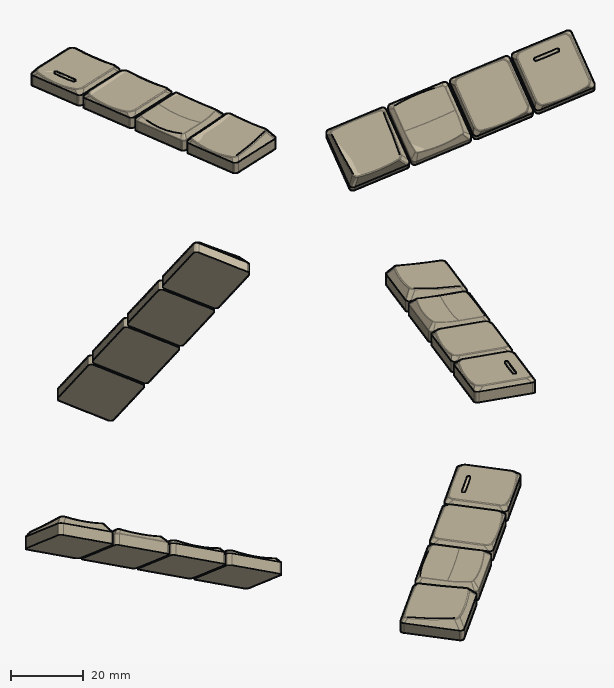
import cadquery as cq

ROW_LENGTH = 73.65
CAP_SIZE = 18.0
CAP_COUNT = 4
PITCH = (ROW_LENGTH - CAP_SIZE) / (CAP_COUNT - 1)
HALF_CAP = CAP_SIZE / 2

SKIRT_HEIGHT = 3.4
CORNER_RADIUS = 1.1

CROWN_HEIGHT = 3.3
CROWN_SLOPE = 0.67
FLAT_TIP_RADIUS = 2.95
TILTED_TIP_RADIUS = 1.3
STEEP_CROWN_SLOPE = 0.97
STEEP_TIP_RADIUS = 0.1
STEP_FILLET = 0.3

DISH_RADIUS = 36.8
DISH_FLOOR = 3.9
RIM_FILLET = 0.4
CURLED_RIM_FILLET = 0.15

CURL_RADIUS = DISH_RADIUS
CURL_START = 0.0

TILT_RADIUS = 103.1
TILT_START = -11.35
TILT_FLOOR = 3.8

BAR_RADIUS = 0.5
BAR_LENGTH = 7.5
BAR_Y = -4.65
BAR_AXIS_HEIGHT = 4.0

CUTTER_HALF_WIDTH = 11.05
CUTTER_HEIGHT = 11.05
CUTTER_REACH = 2 * CAP_SIZE
CUTTER_SWEEP_ANGLE = 30.0
DISH_FACE_MIN_NORMAL_Z = 0.85


def rounded_square(size, radius):
    return cq.Sketch().rect(size, size).vertices().fillet(radius)


def cap_blank(slope, tip_radius):
    """Straight skirt with a tapering crown on top, before the dish is cut."""
    outline = rounded_square(CAP_SIZE, CORNER_RADIUS)
    skirt = cq.Workplane("XY").placeSketch(outline).extrude(SKIRT_HEIGHT)
    tip = rounded_square(CAP_SIZE - 2 * slope * CROWN_HEIGHT, tip_radius)
    crown = (
        cq.Workplane("XY", origin=(0, 0, SKIRT_HEIGHT))
        .placeSketch(outline, tip.moved(cq.Location(cq.Vector(0, 0, CROWN_HEIGHT))))
        .loft()
    )
    return skirt.union(crown)


def dish_profile(y, floor):
    """Section of the removed material: a wide shallow arc closed above by a rectangle."""
    edge_rise = DISH_RADIUS - (DISH_RADIUS**2 - CUTTER_HALF_WIDTH**2) ** 0.5
    return (
        cq.Workplane("XZ", origin=(0, y, floor))
        .moveTo(-CUTTER_HALF_WIDTH, edge_rise)
        .threePointArc((0, 0), (CUTTER_HALF_WIDTH, edge_rise))
        .lineTo(CUTTER_HALF_WIDTH, CUTTER_HEIGHT)
        .lineTo(-CUTTER_HALF_WIDTH, CUTTER_HEIGHT)
        .close()
    )


def straight_dish(start, floor):
    """Cylindrical trough running forward (-Y) from the start."""
    return dish_profile(start, floor).extrude(CUTTER_REACH)


def rising_dish(start, floor, radius):
    """Trough that runs back (+Y) from the start and curves upward."""
    return dish_profile(start, floor).revolve(CUTTER_SWEEP_ANGLE, (0, radius), (1, radius))


def round_rim(cap, radius):
    """Round the edge between the dish and the flanks, but not a seam across the dish."""
    dish_faces = [f for f in cap.faces().vals() if f.normalAt().z > DISH_FACE_MIN_NORMAL_Z]
    dish_edges = [edge for face in dish_faces for edge in face.Edges()]
    rim = [e for e in dish_edges if sum(e.isSame(other) for other in dish_edges) == 1]
    return cap.newObject(rim).fillet(radius)


def flat_cap():
    blank = cap_blank(CROWN_SLOPE, FLAT_TIP_RADIUS)
    return round_rim(blank.cut(straight_dish(HALF_CAP, DISH_FLOOR)), RIM_FILLET)


def homing_bar():
    half_straight = BAR_LENGTH / 2 - BAR_RADIUS
    bar = (
        cq.Workplane("YZ", origin=(-half_straight, BAR_Y, BAR_AXIS_HEIGHT))
        .circle(BAR_RADIUS)
        .extrude(2 * half_straight)
    )
    for x in (-half_straight, half_straight):
        bar = bar.union(cq.Workplane("XY", origin=(x, BAR_Y, BAR_AXIS_HEIGHT)).sphere(BAR_RADIUS))
    return bar


def homing_cap():
    return flat_cap().union(homing_bar())


def curled_cap():
    cap = cap_blank(STEEP_CROWN_SLOPE, STEEP_TIP_RADIUS)
    step_plane = cq.selectors.BoxSelector(
        (-CAP_SIZE, -CAP_SIZE, SKIRT_HEIGHT - STEP_FILLET / 2),
        (CAP_SIZE, CAP_SIZE, SKIRT_HEIGHT + STEP_FILLET / 2),
    )
    cap = cap.edges(step_plane).fillet(STEP_FILLET)
    cap = cap.cut(straight_dish(CURL_START, DISH_FLOOR))
    cap = cap.cut(rising_dish(CURL_START, DISH_FLOOR, CURL_RADIUS))
    return round_rim(cap, CURLED_RIM_FILLET)


def tilted_cap():
    cap = cap_blank(CROWN_SLOPE, TILTED_TIP_RADIUS)
    cap = cap.cut(rising_dish(TILT_START, TILT_FLOOR, TILT_RADIUS))
    return round_rim(cap, RIM_FILLET)


def place(cap, position):
    """Move a cap to its numbered place in the row, counted from -X."""
    first_x = -(CAP_COUNT - 1) * PITCH / 2
    return cap.translate((first_x + position * PITCH, 0, 0))


homing_key = place(homing_cap(), 0)
flat_key = place(flat_cap(), 1)
curled_key = place(curled_cap(), 2)
tilted_key = place(tilted_cap(), 3)

result = cq.Compound.makeCompound(
    [homing_key.val(), flat_key.val(), curled_key.val(), tilted_key.val()]
)